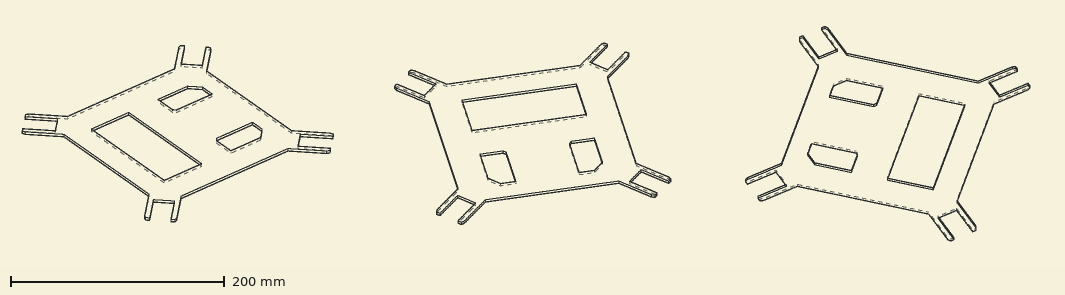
import cadquery as cq
import math

overall = 224.5
thickness = 3.0
body_side = 170.5

slot_width = 20.0
prong_width = 5.2
slot_floor = 114.2
arm_width = slot_width + 2 * prong_width
tip_cut_depth = 1.3
tip_cut_length = 3.0
arm_reach = math.sqrt(2) * overall / 2 - (arm_width / 2 - tip_cut_depth)

window_half_span = 54.8
upper_inner_x = 30.3
upper_top = 65.3
upper_bottom = 20.0
outer_corner_cut = 9.9
inner_corner_cut = 2.5
lower_top = -15.0
lower_bottom = -59.7


def forked_arm(angle):
    """Two prongs with slanted outer tip corners, on a root whose sides reach into the body."""
    arm = cq.Workplane("XY").center(slot_floor / 2, 0).rect(slot_floor, arm_width).extrude(thickness)
    for side in (-1, 1):
        outline = [
            (0, slot_width / 2),
            (arm_reach, slot_width / 2),
            (arm_reach, arm_width / 2 - tip_cut_depth),
            (arm_reach - tip_cut_length, arm_width / 2),
            (0, arm_width / 2),
        ]
        points = [(x, side * y) for x, y in outline]
        prong = cq.Workplane("XY").polyline(points).close().extrude(thickness)
        arm = arm.union(prong)
    return arm.rotate((0, 0, 0), (0, 0, 1), angle)


def corner_slot(angle):
    """Cutter that keeps the gap between two prongs clear of the body."""
    slot_length = arm_reach - slot_floor
    cutter = (
        cq.Workplane("XY")
        .center(slot_floor + slot_length / 2, 0)
        .rect(slot_length, slot_width)
        .extrude(thickness)
    )
    return cutter.rotate((0, 0, 0), (0, 0, 1), angle)


def upper_window(side):
    """Upright window with its outer top and inner bottom corners cut at 45 degrees."""
    outline = [
        (window_half_span, upper_bottom),
        (window_half_span, upper_top - outer_corner_cut),
        (window_half_span - outer_corner_cut, upper_top),
        (upper_inner_x, upper_top),
        (upper_inner_x, upper_bottom + inner_corner_cut),
        (upper_inner_x + inner_corner_cut, upper_bottom),
    ]
    points = [(side * x, y) for x, y in outline]
    return cq.Workplane("XY").polyline(points).close().extrude(thickness)


def lower_window():
    """Wide rectangular window."""
    return (
        cq.Workplane("XY")
        .center(0, (lower_top + lower_bottom) / 2)
        .rect(2 * window_half_span, lower_top - lower_bottom)
        .extrude(thickness)
    )


result = cq.Workplane("XY").rect(body_side, body_side).extrude(thickness)

for diagonal in (45, 135, 225, 315):
    result = result.union(forked_arm(diagonal)).cut(corner_slot(diagonal))

for mirror_side in (-1, 1):
    result = result.cut(upper_window(mirror_side))
result = result.cut(lower_window())